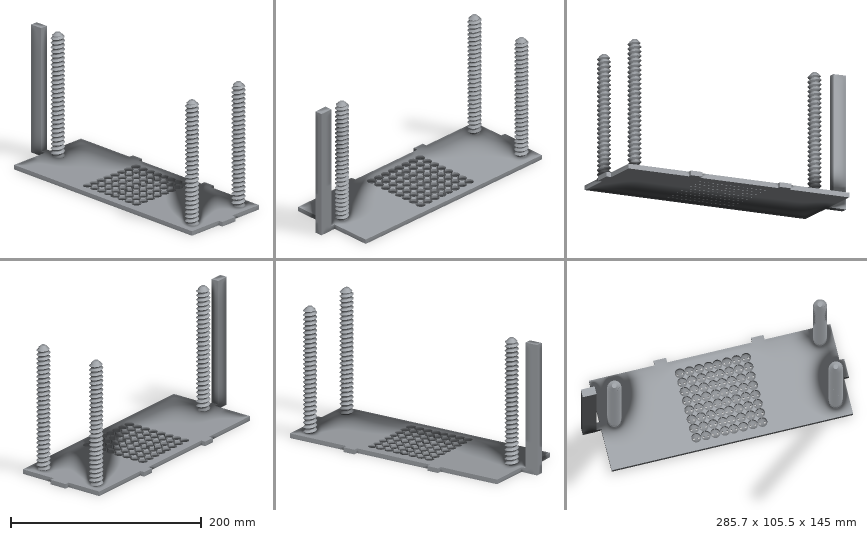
import cadquery as cq
plate_length = 260.5
plate_width = 100.5
plate_thickness = 5.0
overall_length = 285.7
overall_height = 145.0
tab_length = 5.0

end_tab_width = 20.0
side_tab_width = 13.5
side_tab_offset = 52.5

post_length = 14.9
post_width = 8.5
neck_length = overall_length - plate_length - tab_length - post_length
neck_width = 8.0

stud_spacing_x = 230.5
stud_offset_x = stud_spacing_x / 2
stud_offset_y = 34.9
stud_positions = [
    (-stud_offset_x, 0),
    (stud_offset_x, stud_offset_y),
    (stud_offset_x, -stud_offset_y),
]
thread_diameter = 14.9
core_diameter = 10.5
thread_turns = 28
stud_tip_diameter = 5.0
thread_embedding = 0.3
root_gap = 0.3

row_count = 8
half_column_count = 4
row_span = 72.3
pocket_pitch = row_span / (row_count - 1)
middle_pitch = 9.5
grid_offset_y = -0.5
pocket_overlap = 0.05
pocket_diameter = pocket_pitch + pocket_overlap
pocket_depth = 4.0
pin_hole_diameter = 2.0
pin_spacing = 5.0


def block(length, width, height, x, y):
    """Box standing on z = 0 with its centre at (x, y)."""
    return cq.Workplane("XY").center(x, y).rect(length, width).extrude(height)


def cylinder(diameter, height, x, y, z):
    """Upright cylinder whose base centre is at (x, y, z)."""
    return cq.Solid.makeCylinder(diameter / 2, height, cq.Vector(x, y, z))


def make_plate():
    """Plate with one tab on its right edge and two on its back edge."""
    plate = block(plate_length, plate_width, plate_thickness, 0, 0)
    end_tab_x = (plate_length + tab_length) / 2
    side_tab_y = (plate_width + tab_length) / 2
    plate = plate.union(block(tab_length, end_tab_width, plate_thickness, end_tab_x, 0))
    for x in (-side_tab_offset, side_tab_offset):
        plate = plate.union(block(side_tab_width, tab_length, plate_thickness, x, side_tab_y))
    return plate


def make_post():
    """Full-height post and the low neck that joins it to the plate."""
    neck_x = -(plate_length + neck_length) / 2
    post_x = -(plate_length + post_length) / 2 - neck_length
    neck = block(neck_length, neck_width, plate_thickness, neck_x, 0)
    return neck.union(block(post_length, post_width, overall_height, post_x, 0))


def cut_pockets(plate):
    """Cut blind pockets into the top face, with two pin holes through each floor."""
    half_columns = [middle_pitch / 2 + column * pocket_pitch for column in range(half_column_count)]
    columns = [side * x for side in (-1, 1) for x in half_columns]
    first_row = grid_offset_y - row_span / 2
    rows = [first_row + row * pocket_pitch for row in range(row_count)]
    floor_height = plate_thickness - pocket_depth
    tools = []
    for x, y in [(x, y) for x in columns for y in rows]:
        tools.append(cylinder(pocket_diameter, pocket_depth, x, y, floor_height))
        for side in (-1, 1):
            tools.append(cylinder(pin_hole_diameter, plate_thickness, x + side * pin_spacing / 2, y, 0))
    return cq.Workplane(plate.val().cut(*tools))


def make_thread(pitch):
    """Right-hand V ridge, closed by its inner face and by a flat cap at each end.

    It starts half a turn below z = 0 and runs half a turn past the stud's top.
    """
    root_radius = core_diameter / 2 - thread_embedding
    half_base = (pitch - root_gap) / 2
    profile = [(root_radius, -half_base), (thread_diameter / 2, 0), (root_radius, half_base)]

    def profile_face(z):
        corners = [cq.Vector(radius, 0, z + offset) for radius, offset in profile]
        return cq.Face.makeFromWires(cq.Wire.makePolygon(corners, close=True))

    helices = [
        cq.Wire.makeHelix(pitch, pitch, radius).translate(cq.Vector(0, 0, offset)).Edges()[0]
        for radius, offset in profile
    ]
    one_turn = [cq.Face.makeRuledSurface(helices[i - 1], helices[i]) for i in range(len(helices))]
    turns = thread_turns + 1
    faces = [profile_face(0), profile_face(turns * pitch)]
    for turn in range(turns):
        for face in one_turn:
            faces.append(face.translate(cq.Vector(0, 0, turn * pitch)))
    ridge = cq.Solid.makeSolid(cq.Shell.makeShell(faces))
    ridge = ridge.rotate(cq.Vector(0, 0, 0), cq.Vector(0, 0, 1), 180)
    return ridge.translate(cq.Vector(0, 0, -pitch / 2))


def make_stud():
    """Threaded stud standing on z = 0, with a 45 degree cone at the tip.

    The first half turn of thread hangs below z = 0, to be buried in the plate.
    """
    height = overall_height - plate_thickness
    core = cq.Workplane("XY").circle(core_diameter / 2).extrude(height)
    stud = core.union(cq.Workplane(make_thread(height / thread_turns)))
    tip_radius = stud_tip_diameter / 2
    cone_radius = thread_diameter
    tip_waste = (
        cq.Workplane("XZ")
        .polyline([
            (0, height),
            (tip_radius, height),
            (cone_radius, height - cone_radius + tip_radius),
            (cone_radius, height + cone_radius),
            (0, height + cone_radius),
        ])
        .close()
        .revolve(360, (0, 0, 0), (0, 1, 0))
    )
    return stud.cut(tip_waste)


result = cut_pockets(make_plate()).union(make_post())
stud = make_stud()
for x, y in stud_positions:
    result = result.union(stud.translate((x, y, plate_thickness)))